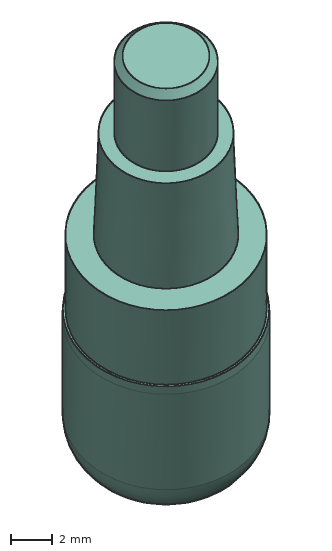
import cadquery as cq

TOTAL_HEIGHT = 29.1
CAP_ROUND_TOP = 3.0
CAP_BEVEL_START = 10.0
CAP_TOP = 10.53
COLLAR_TOP = 16.0
TAPER_TOP = 23.48

CAP_RADIUS = 5.0
CAP_RIM_RADIUS = 4.98
COLLAR_RADIUS = 4.85
TAPER_BASE_RADIUS = 3.5
TAPER_TOP_RADIUS = 3.25
TIP_RADIUS = 2.5
TIP_CHAMFER = 0.4


def make_cap():
    """Solid cap with a rounded bottom edge and a slightly tapered rim wider than the collar."""
    return (
        cq.Workplane("XZ")
        .lineTo(CAP_RADIUS - CAP_ROUND_TOP, 0)
        .radiusArc((CAP_RADIUS, CAP_ROUND_TOP), -CAP_ROUND_TOP)
        .lineTo(CAP_RADIUS, CAP_BEVEL_START)
        .lineTo(CAP_RIM_RADIUS, CAP_TOP)
        .lineTo(0, CAP_TOP)
        .close()
        .revolve(360, (0, 0, 0), (0, 1, 0))
    )


def make_spindle():
    """Stepped spindle on top of the cap: collar, tapered shank and chamfered tip."""
    return (
        cq.Workplane("XZ")
        .moveTo(0, CAP_TOP)
        .lineTo(COLLAR_RADIUS, CAP_TOP)
        .lineTo(COLLAR_RADIUS, COLLAR_TOP)
        .lineTo(TAPER_BASE_RADIUS, COLLAR_TOP)
        .lineTo(TAPER_TOP_RADIUS, TAPER_TOP)
        .lineTo(TIP_RADIUS, TAPER_TOP)
        .lineTo(TIP_RADIUS, TOTAL_HEIGHT - TIP_CHAMFER)
        .lineTo(TIP_RADIUS - TIP_CHAMFER, TOTAL_HEIGHT)
        .lineTo(0, TOTAL_HEIGHT)
        .close()
        .revolve(360, (0, 0, 0), (0, 1, 0))
    )


cap = make_cap()
spindle = make_spindle()

result = cq.Compound.makeCompound([cap.val(), spindle.val()])